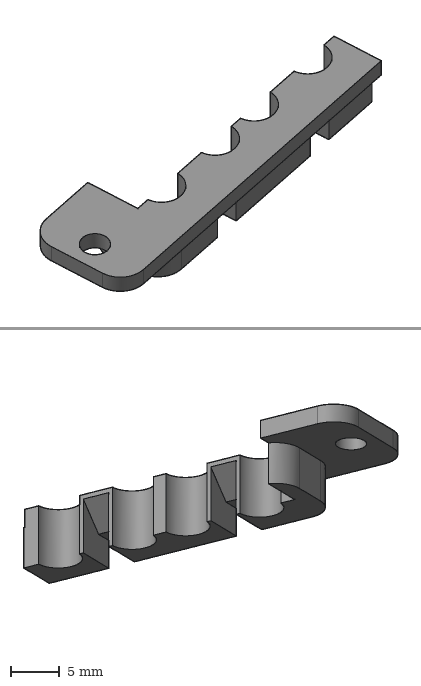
import cadquery as cq

plate_width = 12.6
plate_thickness = 2.0
foot_length = 10.0
rail_left = 0.17
corner_radius = 3.0

total_length = 43.1
total_height = 6.5
rear_overhang = 0.15
body_inset = 1.3
body_front = 8.0

hole_diameter = 3.2
hole_y = 3.0

scallop_radius = 2.5
pair_centers = (18.7, 34.25)
scallop_spacing = 9.0
notch_width = 3.1
notch_roof = 0.5
notch_back_height = 3.1

half_width = plate_width / 2
plate_length = total_length - rear_overhang
plate_bottom = total_height - plate_thickness
body_right = half_width - body_inset


def box(x_min, x_max, y_min, y_max, z_min, z_max):
    """Box between the given limits."""
    size = (x_max - x_min, y_max - y_min, z_max - z_min)
    return cq.Workplane("XY").box(*size, centered=False).translate((x_min, y_min, z_min))


def make_plate():
    """L-shaped plate with two rounded front corners."""
    foot = box(-half_width, half_width, 0, foot_length, plate_bottom, total_height)
    foot = foot.edges("|Z and <Y").fillet(corner_radius)
    rail = box(rail_left, half_width, foot_length, plate_length, plate_bottom, total_height)
    return foot.union(rail)


def make_body():
    """Inset block, rounded at the front and trimmed flush with the plate's inner edges."""
    block = box(-body_right, body_right, body_front, total_length, 0, plate_bottom)
    block = block.edges("|Z and <Y").fillet(corner_radius)
    trim = box(-half_width, rail_left, foot_length, total_length, 0, plate_bottom)
    return block.cut(trim)


def make_scallop(y):
    """Vertical cylinder that cuts one scallop into the rail."""
    return cq.Workplane("XY").center(0, y).circle(scallop_radius).extrude(total_height)


def make_notch(y):
    """Notch across the rail whose ceiling slopes down at 45 degrees, then runs level to the +X side."""
    notch_top = total_height - notch_roof
    slope_end = rail_left + notch_top - notch_back_height
    profile = [
        (rail_left, 0),
        (rail_left, notch_top),
        (slope_end, notch_back_height),
        (body_right, notch_back_height),
        (body_right, 0),
    ]
    notch = cq.Workplane("XZ").polyline(profile).close().extrude(notch_width / 2, both=True)
    return notch.translate((0, y, 0))


result = make_plate().union(make_body())

hole = cq.Workplane("XY").center(0, hole_y).circle(hole_diameter / 2).extrude(total_height)
result = result.cut(hole)

for pair_center in pair_centers:
    for side in (-1, 1):
        result = result.cut(make_scallop(pair_center + side * scallop_spacing / 2))
    result = result.cut(make_notch(pair_center))